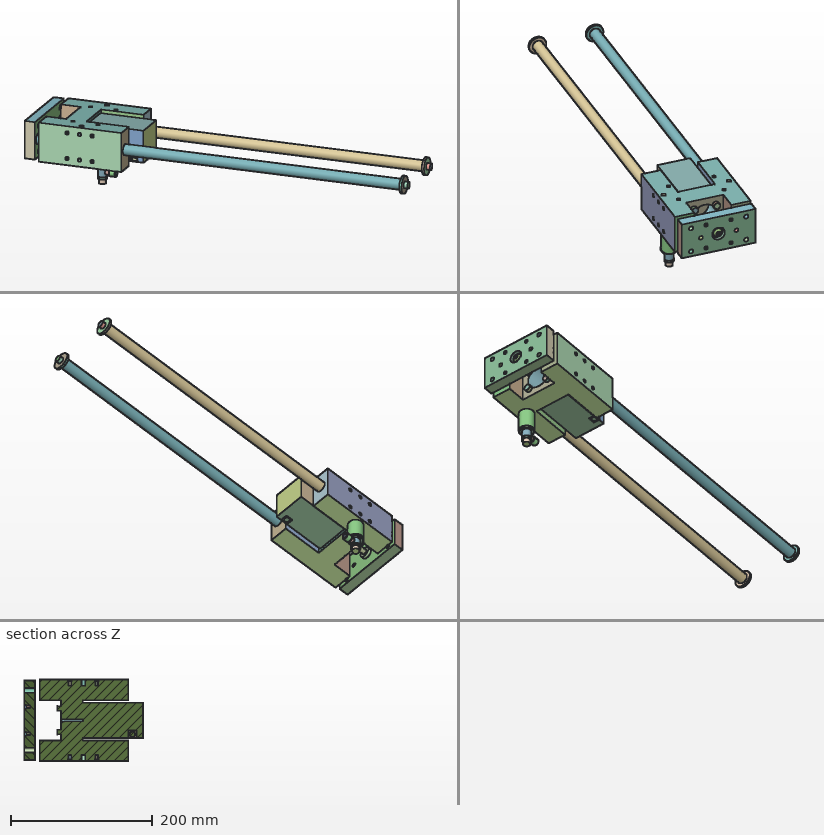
import cadquery as cq


block_start = 22.0
block_end = 147.0
block_width = 115.0
block_height = 58.0
leg_width = 29.5
bridge_start = 52.0
bridge_end = 83.0
cylinder_bore_diameter = 38.0

rod_diameter = 16.0
rod_spacing = 87.0
rod_sides = (-1, 1)
overall_length = 576.0
collar_start = 567.0
collar_diameter = 26.0
collar_thickness = 3.5
rod_stub_diameter = 10.0

mount_x = 83.5
mount_pitch = 19.0
mount_z = 19.0
mount_hole_depth = 8.5
side_hole_diameter = 4.9
tapped_hole_diameter = 4.9
tapped_core_diameter = 3.2
tapped_mouth_depth = 3.0
top_center_hole_y = 49.5
top_center_hole_diameter = 6.5
top_hole_y = 34.5

bolt_y = 16.5
bolt_z = 15.5
bolt_head_diameter = 10.0
bolt_head_height = 5.0

motor_end = 167.5
motor_width = 50.0
motor_top = 25.0
motor_bottom = -23.0
post_x = 152.5
post_diameter = 8.0
window_length = 11.5
window_depth = 10.5
window_bottom = -22.0
window_top = -17.0

connector_x = 79.0
connector_y = 43.0
sleeve_diameter = 23.0
sleeve_bottom = -62.0
sleeve_chamfer = 2.0
stem_diameter = 13.0
stem_bottom = -75.0
ring_diameter = 14.0
ring_bottom = -78.5
tip_diameter = 10.5
overall_height = 114.5
nozzle_z = -68.5
nozzle_neck_diameter = 8.0
nozzle_neck_end = 90.5
nozzle_diameter = 11.0
nozzle_end = 100.0
nozzle_chamfer = 1.0

plate_thickness = 15.5
plate_width = 112.5
plate_height = 56.0
plate_z = 0.5
corner_hole_y = 42.0
corner_hole_diameter = 6.5
inner_hole_y = 19.0
plate_hole_z = 19.0
middle_hole_y = 27.0
middle_hole_diameter = 6.0

recess_diameter = 19.0
recess_depth = 7.0
head_diameter = 16.0
head_height = 2.5
button_diameter = 14.0
button_height = 4.5
button_chamfer = 3.5
socket_diameter = 3.2
socket_depth = 2.5
flange_diameter = 16.0
flange_end = 21.0
stud_diameter = 8.0
stud_end = 31.0


def box(x_range, y_range, z_range):
    """Box between the given limits."""
    size = [limits[1] - limits[0] for limits in (x_range, y_range, z_range)]
    return cq.Workplane("XY").box(*size, centered=False).translate((x_range[0], y_range[0], z_range[0]))


def rod_along_x(x_start, x_end, diameter, y=0.0, z=0.0):
    """Cylinder parallel to X."""
    start = cq.Workplane("YZ", origin=(x_start, y, z))
    return start.circle(diameter / 2).extrude(x_end - x_start)


def rod_along_y(y_start, y_end, diameter, x, z):
    """Cylinder parallel to Y."""
    start = cq.Workplane("XZ", origin=(x, y_start, z))
    return start.circle(diameter / 2).extrude(y_start - y_end)


def rod_along_z(z_start, z_end, diameter, x, y):
    """Cylinder parallel to Z."""
    start = cq.Workplane("XY", origin=(x, y, z_start))
    return start.circle(diameter / 2).extrude(z_end - z_start)


def tapped_hole(face_point, inward):
    """Stepped blind hole from a point on a face, running along the inward direction."""
    start = cq.Workplane(cq.Plane(origin=face_point, normal=inward))
    core = start.circle(tapped_core_diameter / 2).extrude(mount_hole_depth)
    return core.union(start.circle(tapped_hole_diameter / 2).extrude(tapped_mouth_depth))


def make_block():
    """H-shaped block with guide bores for the rods and a bore for the cylinder."""
    half_width = block_width / 2
    half_height = block_height / 2
    z_range = (-half_height, half_height)
    inner_y = half_width - leg_width
    block = box((bridge_start, bridge_end), (-inner_y, inner_y), z_range)
    for low_y in (-half_width, inner_y):
        block = block.union(box((block_start, block_end), (low_y, low_y + leg_width), z_range))
    for side in rod_sides:
        block = block.cut(rod_along_x(block_start, block_end, rod_diameter, side * rod_spacing / 2))
    return block.cut(rod_along_x(bridge_start, bridge_end, cylinder_bore_diameter))


def cut_side_holes(block):
    """Two rows in each outer side: a plain blind hole between two tapped ones."""
    half_width = block_width / 2
    for side in (-1, 1):
        outer_y = side * half_width
        inner_y = side * (half_width - mount_hole_depth)
        for z in (-mount_z, mount_z):
            block = block.cut(rod_along_y(outer_y, inner_y, side_hole_diameter, mount_x, z))
            for step in (-1, 1):
                x = mount_x + step * mount_pitch
                block = block.cut(tapped_hole((x, outer_y, z), (0, -side, 0)))
    return block


def cut_top_holes(block):
    """One plain and two tapped blind holes in the top of each leg."""
    top = block_height / 2
    bottom = top - mount_hole_depth
    for side in (-1, 1):
        center_y = side * top_center_hole_y
        block = block.cut(rod_along_z(bottom, top, top_center_hole_diameter, mount_x, center_y))
        for step in (-1, 1):
            x = mount_x + step * mount_pitch
            block = block.cut(tapped_hole((x, side * top_hole_y, top), (0, 0, -1)))
    return block


def make_bolt_heads():
    """Four bolt heads on the front face of the bridge."""
    heads = cq.Workplane("XY")
    for y in (-bolt_y, bolt_y):
        for z in (-bolt_z, bolt_z):
            heads = heads.add(rod_along_x(bridge_start - bolt_head_height, bridge_start,
                                          bolt_head_diameter, y, z))
    return heads.combine()


def make_motor():
    """Box behind the bridge, with a small window on the -Y side around a vertical post."""
    half_width = motor_width / 2
    motor = box((bridge_end, motor_end), (-half_width, half_width), (motor_bottom, motor_top))
    window = box((post_x - window_length / 2, post_x + window_length / 2),
                 (-half_width, window_depth - half_width), (window_bottom, window_top))
    post = rod_along_z(window_bottom, window_top, post_diameter, post_x, window_depth / 2 - half_width)
    return motor.cut(window).union(post)


def make_connector():
    """Stepped connector under the +Y leg with a nozzle pointing along +X."""
    top = -block_height / 2
    sleeve = rod_along_z(sleeve_bottom, top, sleeve_diameter, connector_x, connector_y)
    connector = sleeve.faces("<Z").chamfer(sleeve_chamfer)
    steps = (
        (stem_bottom, sleeve_bottom, stem_diameter),
        (ring_bottom, stem_bottom, ring_diameter),
        (block_height / 2 - overall_height, ring_bottom, tip_diameter),
    )
    for low, high, diameter in steps:
        connector = connector.union(rod_along_z(low, high, diameter, connector_x, connector_y))
    neck = rod_along_x(connector_x, nozzle_neck_end, nozzle_neck_diameter, connector_y, nozzle_z)
    nozzle = rod_along_x(nozzle_neck_end, nozzle_end, nozzle_diameter, connector_y, nozzle_z)
    nozzle = nozzle.faces(">X").chamfer(nozzle_chamfer)
    return connector.union(neck).union(nozzle)


def make_housing():
    """Fixed body: block, bolt heads, motor box and connector."""
    block = cut_top_holes(cut_side_holes(make_block()))
    return block.union(make_bolt_heads()).union(make_motor()).union(make_connector())


def make_plate():
    """Front plate with its mounting holes and the recess for the coupling."""
    plate = box((0, plate_thickness), (-plate_width / 2, plate_width / 2),
                (plate_z - plate_height / 2, plate_z + plate_height / 2))
    for side in (-1, 1):
        plate = plate.cut(rod_along_x(0, plate_thickness, middle_hole_diameter, side * middle_hole_y))
        for z in (-plate_hole_z, plate_hole_z):
            corner_hole = rod_along_x(0, plate_thickness, corner_hole_diameter, side * corner_hole_y, z)
            inner_hole = tapped_hole((0, side * inner_hole_y, z), (1, 0, 0))
            plate = plate.cut(corner_hole).cut(inner_hole)
    return plate.cut(rod_along_x(0, recess_depth, recess_diameter, z=plate_z))


def make_coupling():
    """Head and chamfered, socketed button in the plate's recess, and the flange and stud behind the plate."""
    head_start = recess_depth - head_height
    button_start = head_start - button_height
    button = rod_along_x(button_start, head_start, button_diameter, z=plate_z)
    button = button.faces("<X").chamfer(button_chamfer)
    button = button.cut(rod_along_x(button_start, button_start + socket_depth, socket_diameter, z=plate_z))
    head = rod_along_x(head_start, recess_depth, head_diameter, z=plate_z)
    flange = rod_along_x(plate_thickness, flange_end, flange_diameter, z=plate_z)
    stud = rod_along_x(flange_end, stud_end, stud_diameter, z=plate_z)
    return head.union(button), flange.union(stud)


def make_rod(y):
    """Guide rod with a collar and a stub at its far end."""
    collar_end = collar_start + collar_thickness
    rod = rod_along_x(plate_thickness, collar_start, rod_diameter, y)
    rod = rod.union(rod_along_x(collar_start, collar_end, collar_diameter, y))
    return rod.union(rod_along_x(collar_end, overall_length, rod_stub_diameter, y))


def make_carriage():
    """Moving body: plate, coupling and both guide rods."""
    carriage = make_plate()
    for part in make_coupling():
        carriage = carriage.union(part)
    for side in rod_sides:
        carriage = carriage.union(make_rod(side * rod_spacing / 2))
    return carriage


housing = make_housing()
carriage = make_carriage()
result = cq.Compound.makeCompound([housing.solids().val(), carriage.solids().val()])